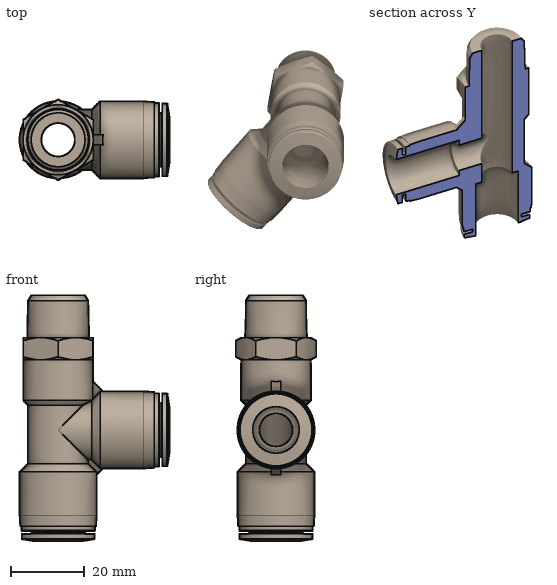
import cadquery as cq
import math


stem_radius = 8.25
bore_diameter = 9.0

housing_radius = 10.5
housing_start = 11.4
housing_taper_start = 23.1
housing_end = 26.1
housing_end_radius = 10.3
cap_radius = 10.0
cap_end = 27.4
cap_edge_chamfer = 0.15
collet_neck_radius = 7.3
collet_flare_start = 27.9
collet_flare_radius = 7.45
collet_flange_start = 28.2
collet_flange_radius = 9.9
collet_flange_rim_end = 29.65
collet_rim_chamfer = 0.15
port_end = 30.2
socket_radius = 6.3
socket_floor = housing_start

top_z = 36.5
collar_radius = 9.5
collar_bottom_z = 8.0
hex_sides = 6
hex_flat_radius = collar_radius
hex_bottom_z = 19.0
hex_top_z = 25.0
hex_chamfer_angle = 30.0
thread_base_radius = 8.45
thread_end_radius = 8.2
thread_tip_radius = 7.3
thread_chamfer_height = 1.5

rib_thickness = 2.7
rib_leg = 22.6


def revolve_about_z(profile):
    """Revolve (radius, z) points about the Z axis."""
    return cq.Workplane("XZ").polyline(profile).close().revolve(360, (0, 0, 0), (0, 1, 0))


def make_port():
    """Outer shape of a push-in port rising from the tee centre along +Z."""
    shoulder_start = housing_start - (housing_radius - stem_radius)
    return revolve_about_z([
        (0, 0),
        (stem_radius, 0),
        (stem_radius, shoulder_start),
        (housing_radius, housing_start),
        (housing_radius, housing_taper_start),
        (housing_end_radius, housing_end),
        (cap_radius, housing_end),
        (cap_radius, cap_end - cap_edge_chamfer),
        (cap_radius - cap_edge_chamfer, cap_end),
        (collet_neck_radius, cap_end),
        (collet_neck_radius, collet_flare_start),
        (collet_flare_radius, collet_flange_start),
        (collet_flange_radius, collet_flange_start),
        (collet_flange_radius, collet_flange_rim_end - collet_rim_chamfer),
        (collet_flange_radius - collet_rim_chamfer, collet_flange_rim_end),
        (socket_radius, port_end),
        (0, port_end),
    ])


def make_port_passage():
    """Tube socket and flow bore of a port along +Z."""
    socket = (
        cq.Workplane("XY")
        .workplane(offset=socket_floor)
        .circle(socket_radius)
        .extrude(port_end - socket_floor)
    )
    bore = cq.Workplane("XY").circle(bore_diameter / 2).extrude(port_end)
    return bore.union(socket)


def point_down(shape):
    """Turn a shape built along +Z to run along -Z."""
    return shape.rotate((0, 0, 0), (1, 0, 0), 180)


def point_along_x(shape):
    """Turn a shape built along +Z to run along +X."""
    return shape.rotate((0, 0, 0), (0, 1, 0), 90)


def make_threaded_end():
    """Stem, collar and tapered thread envelope above the tee centre."""
    stem_top_z = collar_bottom_z - (collar_radius - stem_radius)
    return revolve_about_z([
        (0, 0),
        (stem_radius, 0),
        (stem_radius, stem_top_z),
        (collar_radius, collar_bottom_z),
        (collar_radius, hex_top_z),
        (thread_base_radius, hex_top_z),
        (thread_end_radius, top_z - thread_chamfer_height),
        (thread_tip_radius, top_z),
        (0, top_z),
    ])


def make_hexagon():
    """Hexagon with corners on the Y axis, chamfered at both ends."""
    corner_radius = hex_flat_radius / math.cos(math.pi / hex_sides)
    chamfer_height = (corner_radius - hex_flat_radius) * math.tan(math.radians(hex_chamfer_angle))
    prism = (
        cq.Workplane("XY")
        .workplane(offset=hex_bottom_z)
        .polygon(hex_sides, 2 * corner_radius)
        .extrude(hex_top_z - hex_bottom_z)
        .rotate((0, 0, 0), (0, 0, 1), 90)
    )
    chamfer_envelope = revolve_about_z([
        (0, hex_bottom_z),
        (hex_flat_radius, hex_bottom_z),
        (corner_radius, hex_bottom_z + chamfer_height),
        (corner_radius, hex_top_z - chamfer_height),
        (hex_flat_radius, hex_top_z),
        (0, hex_top_z),
    ])
    return prism.intersect(chamfer_envelope)


def make_ribs():
    """Thin triangular web bridging run and branch above and below the branch."""
    return (
        cq.Workplane("XZ")
        .polyline([(0, -rib_leg), (rib_leg, 0), (0, rib_leg)])
        .close()
        .extrude(rib_thickness / 2, both=True)
    )


def make_thread_bore():
    """Flow bore from the tee centre out through the threaded end."""
    return cq.Workplane("XY").circle(bore_diameter / 2).extrude(top_z)


body = (
    make_threaded_end()
    .union(make_hexagon())
    .union(point_down(make_port()))
    .union(point_along_x(make_port()))
    .union(make_ribs())
)

result = (
    body
    .cut(make_thread_bore())
    .cut(point_down(make_port_passage()))
    .cut(point_along_x(make_port_passage()))
)